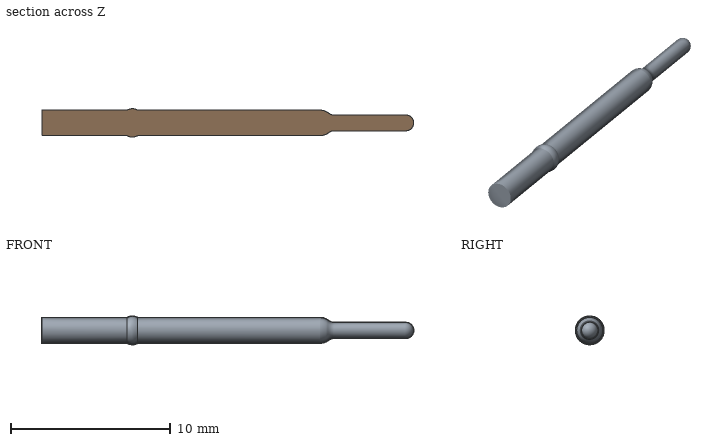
import cadquery as cq
import math

total_length = 23.37
sleeve_radius = 0.82
plunger_radius = 0.51

ring_radius = 0.9
ring_start = 5.38
ring_width = 0.65

shoulder_start = 17.5
convex_length = 0.42
cone_length = 0.15
concave_length = 0.28
crimp_length = convex_length + cone_length + concave_length
crimp_drop = sleeve_radius - plunger_radius

arc_length = convex_length + concave_length
half_tangent = crimp_drop / (crimp_length + cone_length)
for step in range(20):
    half_tangent = crimp_drop / (arc_length + 2 * cone_length / (1 - half_tangent**2))
cone_angle = 2 * math.atan(half_tangent)

ring_end = ring_start + ring_width
shoulder_end = shoulder_start + crimp_length
cone_start = shoulder_start + convex_length
cone_end = cone_start + cone_length
cone_start_radius = sleeve_radius - convex_length * half_tangent
cone_end_radius = plunger_radius + concave_length * half_tangent


def arc_middle(length):
    """Axial and radial offset from an arc's axis-parallel end to its midpoint."""
    arc_radius = length / math.sin(cone_angle)
    half_angle = cone_angle / 2
    return arc_radius * math.sin(half_angle), arc_radius * (1 - math.cos(half_angle))


convex_along, convex_drop = arc_middle(convex_length)
concave_along, concave_rise = arc_middle(concave_length)
dome_start = total_length - plunger_radius
dome_offset = plunger_radius * math.sqrt(0.5)

profile = (
    cq.Workplane("XY")
    .lineTo(0, sleeve_radius)
    .lineTo(ring_start, sleeve_radius)
    .threePointArc((ring_start + ring_width / 2, ring_radius), (ring_end, sleeve_radius))
    .lineTo(shoulder_start, sleeve_radius)
    .threePointArc(
        (shoulder_start + convex_along, sleeve_radius - convex_drop),
        (cone_start, cone_start_radius),
    )
    .lineTo(cone_end, cone_end_radius)
    .threePointArc(
        (shoulder_end - concave_along, plunger_radius + concave_rise),
        (shoulder_end, plunger_radius),
    )
    .lineTo(dome_start, plunger_radius)
    .threePointArc((dome_start + dome_offset, dome_offset), (total_length, 0))
    .close()
)

result = profile.revolve(360, (0, 0, 0), (1, 0, 0))